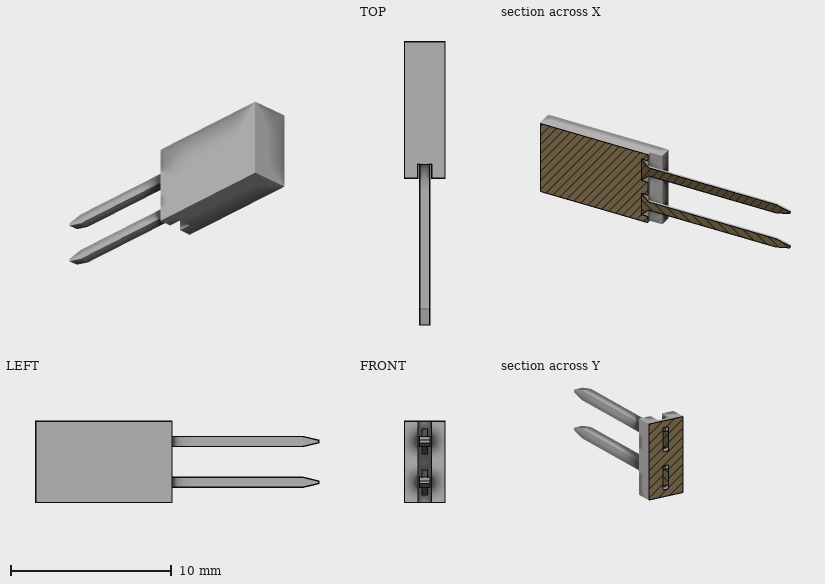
import cadquery as cq

pitch = 2.54
pin_count = 2
housing_width = pitch
housing_height = pin_count * pitch
housing_length = 8.5

slot_width = 0.86
slot_depth = slot_width

pin_width = 0.64
pin_height = pin_width
pin_projection = 9.14
tip_length = 1.0
tip_height = 0.16

tail_width = 0.36
tail_height = 1.56
tail_length = (tail_height - pin_height) / 2

pin_levels = [(i - (pin_count - 1) / 2) * pitch for i in range(pin_count)]


def make_housing():
    """Block with a front slot and one rectangular pocket per pin tail."""
    block = cq.Workplane("XY").box(
        housing_width, housing_length, housing_height, centered=(True, False, True)
    )
    slot = cq.Workplane("XY").box(
        slot_width, slot_depth, housing_height, centered=(True, False, True)
    )
    body = block.cut(slot)
    for level in pin_levels:
        pocket = (
            cq.Workplane("XY")
            .box(tail_width, tail_length, tail_height, centered=(True, False, True))
            .translate((0, slot_depth, level))
        )
        body = body.cut(pocket)
    return body


def extrude_profile(half_profile, width):
    """Mirror a (Y, Z) half profile about Z = 0 and extrude it symmetrically along X."""
    lower_half = [(y, -z) for y, z in reversed(half_profile)]
    outline = cq.Workplane("YZ").polyline(half_profile + lower_half).close()
    return outline.extrude(width / 2, both=True)


def make_pin(level):
    """Pin with a wedge tip in front and a thinner tail that flares to the pocket height."""
    shaft = extrude_profile(
        [
            (-pin_projection, tip_height / 2),
            (-pin_projection + tip_length, pin_height / 2),
            (slot_depth, pin_height / 2),
        ],
        pin_width,
    )
    tail = extrude_profile(
        [
            (slot_depth, pin_height / 2),
            (slot_depth + tail_length, tail_height / 2),
        ],
        tail_width,
    )
    return shaft.union(tail).translate((0, 0, level))


housing = make_housing()
pins = [make_pin(level) for level in pin_levels]

result = cq.Compound.makeCompound([housing.val(), *[pin.val() for pin in pins]])